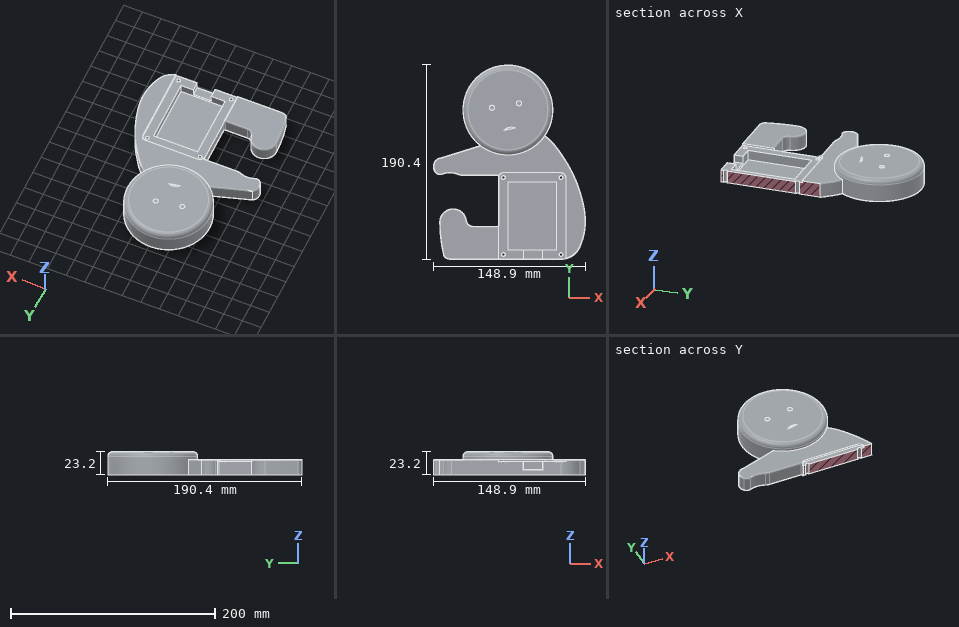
import cadquery as cq
import math


TOTAL_LENGTH = 190.4
TOTAL_HEIGHT = 23.2

HEAD_DIAMETER = 88.1
HEAD_RADIUS = HEAD_DIAMETER / 2
HEAD_X = 9.1
HEAD_Y = TOTAL_LENGTH - HEAD_RADIUS
HEAD_FILLET = 5.0

FACE_RELIEF = 0.2
HEAD_HEIGHT = TOTAL_HEIGHT - FACE_RELIEF
EYE_DIAMETER = 5.0
EYE_CENTRES = [(-6.5, 148.5), (20.0, 152.9)]
MOUTH_LEFT = (5.5, 126.5)
MOUTH_TOP = (11.5, 129.5)
MOUTH_RIGHT = (16.4, 128.7)

BODY_HEIGHT = 15.0
RIM_FILLET = 0.5
INNER_CORNER_RADIUS = 1.1

SEAT_END_X = 61.3
SEAT_RADIUS = 20.0
SEAT_SWEEP = math.radians(66)
BACK_POINTS = [(85.1, 35.2), (80.5, 64.0), (69.0, 91.4), (54.6, 112.3), (34.3, 129.5)]
BACK_END_DIRECTION = (-0.8, 0.6)

SHOULDER = (-11.5, 113.5)
HAND_TOP = (-59.5, 98.5)
HAND_TIP = (-63.8, 90.2)
FINGERTIP = (-61.5, 84.7)
FINGER_BOTTOM = (-59.0, 83.2)
PALM_START = (-55.5, 83.2)
PALM_MIDDLE = (-47.2, 84.7)
PALM_END = (-39.5, 83.0)
ARM_UNDERSIDE_Y = 82.2
WRIST_DIRECTION = (0.9, -0.4)
WRIST_X = -35.0

LEG_TOP_Y = 32.4
TOE_X = -44.5
TOE_Y = 36.4
TOE_RADIUS = 13.1
ANKLE_RADIUS = 6.7
SOLE_MIDDLE = (-56.7, 20.2)
HEEL_TOP = (-53.9, 4.2)
HEEL_TOP_DIRECTION = (0.2, -1.0)
HEEL_MIDDLE = (-52.0, 1.5)
HEEL_START_X = -46.3

BOX_WIDTH = 65.9
BOX_LENGTH = 85.0
BOX_CORNER_RADIUS = 5.0
LID_DEPTH = 1.9
LID_SEAT_Z = BODY_HEIGHT - LID_DEPTH
POCKET_WALL = 9.3
POCKET_WIDTH = BOX_WIDTH - 2 * POCKET_WALL
POCKET_LENGTH = BOX_LENGTH - 2 * POCKET_WALL
POCKET_FLOOR_Z = 3.0
SCREW_HOLE_DIAMETER = 3.5
SCREW_INSET = 4.8

SLOT_X = 24.2
SLOT_WIDTH = 19.0
SLOT_FLOOR_Z = 5.5
SLOT_MOUTH_CHAMFER = 0.4


def polar(centre_x, centre_y, radius, angle):
    return (centre_x + radius * math.cos(angle), centre_y + radius * math.sin(angle))


def make_body():
    ankle_y = LEG_TOP_Y + ANKLE_RADIUS
    ankle_x = TOE_X + math.sqrt((TOE_RADIUS + ANKLE_RADIUS) ** 2 - (ankle_y - TOE_Y) ** 2)
    ankle_angle = math.atan2(ankle_y - TOE_Y, ankle_x - TOE_X)
    toe_end = polar(TOE_X, TOE_Y, TOE_RADIUS, ankle_angle)

    toe_start = (TOE_X - TOE_RADIUS, TOE_Y)
    toe_top = (TOE_X, TOE_Y + TOE_RADIUS)

    seat_end = polar(SEAT_END_X, SEAT_RADIUS, SEAT_RADIUS, SEAT_SWEEP - math.pi / 2)
    seat_middle = polar(SEAT_END_X, SEAT_RADIUS, SEAT_RADIUS, SEAT_SWEEP / 2 - math.pi / 2)
    back_start_direction = (math.cos(SEAT_SWEEP), math.sin(SEAT_SWEEP))

    outline = (
        cq.Workplane("XY")
        .moveTo(HEEL_START_X, 0)
        .lineTo(SEAT_END_X, 0)
        .threePointArc(seat_middle, seat_end)
        .spline(BACK_POINTS, tangents=[back_start_direction, BACK_END_DIRECTION], includeCurrent=True)
        .lineTo(HEAD_X, HEAD_Y)
        .lineTo(*SHOULDER)
        .lineTo(*HAND_TOP)
        .threePointArc(HAND_TIP, FINGERTIP)
        .threePointArc(FINGER_BOTTOM, PALM_START)
        .threePointArc(PALM_MIDDLE, PALM_END)
        .spline([(WRIST_X, ARM_UNDERSIDE_Y)], tangents=[WRIST_DIRECTION, (1, 0)], includeCurrent=True)
        .lineTo(0, ARM_UNDERSIDE_Y)
        .lineTo(0, LEG_TOP_Y)
        .lineTo(ankle_x, LEG_TOP_Y)
        .tangentArcPoint(toe_end, relative=False)
        .threePointArc(toe_top, toe_start)
        .threePointArc(SOLE_MIDDLE, HEEL_TOP)
        .spline([HEEL_MIDDLE, (HEEL_START_X, 0)], tangents=[HEEL_TOP_DIRECTION, (1, 0)], includeCurrent=True)
        .close()
    )
    body = outline.extrude(BODY_HEIGHT)
    for corner_y in (ARM_UNDERSIDE_Y, LEG_TOP_Y):
        corner = cq.selectors.NearestToPointSelector((0, corner_y, BODY_HEIGHT / 2))
        body = body.edges(corner).fillet(INNER_CORNER_RADIUS)
    return body.faces(">Z").edges().fillet(RIM_FILLET)


def make_head():
    disc = cq.Workplane("XY").center(HEAD_X, HEAD_Y).circle(HEAD_RADIUS).extrude(HEAD_HEIGHT)
    return disc.faces(">Z").edges().fillet(HEAD_FILLET)


def make_face():
    face_plane = cq.Workplane("XY").workplane(offset=HEAD_HEIGHT)
    eyes = face_plane.pushPoints(EYE_CENTRES).circle(EYE_DIAMETER / 2).extrude(FACE_RELIEF)
    mouth_outline = face_plane.moveTo(*MOUTH_LEFT).threePointArc(MOUTH_TOP, MOUTH_RIGHT).close()
    mouth = mouth_outline.extrude(FACE_RELIEF)
    return eyes.union(mouth)


def box_cut(x, y, width, length, floor_z):
    """Block that cuts from floor_z up to the top of the body, with its lower left corner at x, y."""
    block = cq.Workplane("XY").box(width, length, BODY_HEIGHT - floor_z, centered=False)
    return block.translate((x, y, floor_z))


def cut_belly_box(body):
    lid_seat = box_cut(0, 0, BOX_WIDTH, BOX_LENGTH, LID_SEAT_Z)
    lid_seat = lid_seat.edges("|Z and >Y").fillet(BOX_CORNER_RADIUS)
    pocket = box_cut(POCKET_WALL, POCKET_WALL, POCKET_WIDTH, POCKET_LENGTH, POCKET_FLOOR_Z)
    slot = box_cut(SLOT_X, 0, SLOT_WIDTH, POCKET_WALL, SLOT_FLOOR_Z)

    screw_holes = (
        cq.Workplane("XY")
        .center(BOX_WIDTH / 2, BOX_LENGTH / 2)
        .rect(BOX_WIDTH - 2 * SCREW_INSET, BOX_LENGTH - 2 * SCREW_INSET, forConstruction=True)
        .vertices()
        .circle(SCREW_HOLE_DIAMETER / 2)
        .extrude(BODY_HEIGHT)
    )
    body = body.cut(lid_seat).cut(pocket).cut(slot).cut(screw_holes)

    mouth_edges = cq.selectors.BoxSelector(
        (SLOT_X - SLOT_MOUTH_CHAMFER, -SLOT_MOUTH_CHAMFER, SLOT_FLOOR_Z - SLOT_MOUTH_CHAMFER),
        (SLOT_X + SLOT_WIDTH + SLOT_MOUTH_CHAMFER, SLOT_MOUTH_CHAMFER, LID_SEAT_Z - SLOT_MOUTH_CHAMFER),
    )
    return body.edges(mouth_edges).chamfer(SLOT_MOUTH_CHAMFER)


result = cut_belly_box(make_body()).union(make_head()).union(make_face())